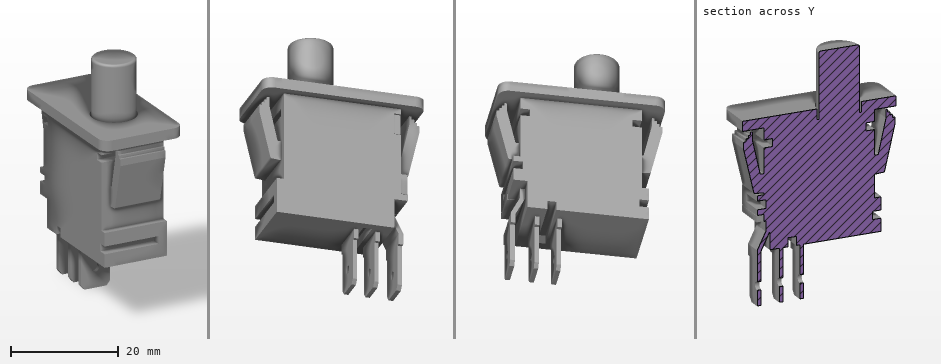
import cadquery as cq


bezel_length = 31.6
bezel_width = 17.0
bezel_thickness = 2.1
bezel_corner_radius = 2.0

button_diameter = 8.5
button_hole_diameter = 9.0
button_x = 4.1
button_height = 11.4
button_edge_radius = 0.5

housing_width = 13.1
upper_half_length = 11.45
ledge_projection = 1.35
ledge_half_length = upper_half_length + ledge_projection
ledge_top_z = -13.2
ledge_bottom_z = -18.6
right_step_z = -17.5
lower_left_x = -10.15
housing_bottom_z = -24.45

groove_depth = 1.8
groove_end_y = 4.75
upper_groove_z = (-3.9, -2.4)
ledge_groove_z = (-16.0, -14.35)
lower_groove_z = (-21.75, -20.2)
bottom_groove_x = (-6.4, -4.7)

joint_gap = 0.15
joint_depth = ledge_projection
tongue_top_z = -1.2
tongue_bottom_z = -5.1
ledge_joint_z = -17.2
ledge_joint_y = 0.1

clip_width = 9.5
clip_tip_z = -0.3
clip_tip_inner_x = -13.7
clip_tip_thickness = 0.45
clip_step_run = 0.5
clip_step_rise = 0.6
clip_step_count = 3
clip_nose_height = 1.35
clip_inner_bend_z = -2.0
clip_root_inner_x = -12.1
clip_root_top_z = -9.0
clip_heel_x = -13.45
clip_heel_z = -12.75
clip_root_bottom_z = -12.9
clip_heel_radius = 0.3
clip_root_radius = 0.2

terminal_thickness = 0.85
terminal_shoulder_width = 7.65
terminal_blade_width = 6.15
terminal_shoulder_z = -26.35
terminal_tip_z = -35.2
terminal_tip_chamfer_width = 0.75
terminal_tip_chamfer_height = 0.9
terminal_hole_diameter = 1.6
terminal_hole_z = -31.2
straight_terminal_x = (-7.8, -3.6)
bent_terminal_thickness = 0.9
bent_terminal_x = -ledge_half_length
bend_top_z = -20.6
bend_bottom_z = -24.1
bend_inner_drop = 0.2
terminal_embed = 1.0


def box(x_range, y_range, z_range):
    """Axis-aligned block between the given limits."""
    size = [high - low for low, high in (x_range, y_range, z_range)]
    corner = (x_range[0], y_range[0], z_range[0])
    return cq.Workplane("XY").box(*size, centered=False).translate(corner)


def extrude_along_y(points, width):
    """Prism of an XZ outline, centred on Y = 0."""
    return cq.Workplane("XZ").polyline(points).close().extrude(width / 2, both=True)


def make_bezel():
    plate = cq.Workplane("XY").rect(bezel_length, bezel_width).extrude(bezel_thickness)
    plate = plate.edges("|Z").fillet(bezel_corner_radius)
    hole = cq.Workplane("XY").center(button_x, 0).circle(button_hole_diameter / 2).extrude(bezel_thickness)
    return plate.cut(hole)


def make_button():
    button = cq.Workplane("XY").center(button_x, 0).circle(button_diameter / 2)
    button = button.extrude(bezel_thickness + button_height)
    return button.faces(">Z").edges().fillet(button_edge_radius)


def make_housing():
    outline = [
        (-upper_half_length, 0),
        (upper_half_length, 0),
        (upper_half_length, right_step_z),
        (ledge_half_length, right_step_z),
        (ledge_half_length, housing_bottom_z),
        (lower_left_x, housing_bottom_z),
        (lower_left_x, ledge_bottom_z),
        (-ledge_half_length, ledge_bottom_z),
        (-ledge_half_length, ledge_top_z),
        (-upper_half_length, ledge_top_z),
    ]
    return extrude_along_y(outline, housing_width)


def cut_grooves(housing):
    groove_y = (-housing_width / 2, groove_end_y)
    upper_left_x = (-upper_half_length, -upper_half_length + groove_depth)
    upper_right_x = (upper_half_length - groove_depth, upper_half_length)
    ledge_x = (-ledge_half_length, -ledge_half_length + groove_depth)
    lower_right_x = (ledge_half_length - groove_depth, ledge_half_length)
    bottom_z = (housing_bottom_z, housing_bottom_z + groove_depth)
    for x_range, z_range in (
        (upper_left_x, upper_groove_z),
        (upper_right_x, upper_groove_z),
        (ledge_x, ledge_groove_z),
        (lower_right_x, lower_groove_z),
        (bottom_groove_x, bottom_z),
    ):
        housing = housing.cut(box(x_range, groove_y, z_range))
    return housing


def cut_joints(housing):
    back_y = housing_width / 2
    side_gap_y = (back_y - joint_gap, back_y)

    tongue_x = (-upper_half_length, -upper_half_length + joint_depth)
    tongue_y = (groove_end_y, back_y)
    housing = housing.cut(box(tongue_x, tongue_y, (tongue_top_z, tongue_top_z + joint_gap)))
    housing = housing.cut(box(tongue_x, tongue_y, (tongue_bottom_z - joint_gap, tongue_bottom_z)))
    housing = housing.cut(box(tongue_x, side_gap_y, (tongue_bottom_z, tongue_top_z)))

    ledge_x = (-ledge_half_length, -ledge_half_length + joint_depth)
    joint_z = (ledge_joint_z - joint_gap, ledge_joint_z)
    joint_y = (ledge_joint_y - joint_gap, ledge_joint_y)
    housing = housing.cut(box(ledge_x, side_gap_y, (ledge_joint_z, ledge_top_z)))
    housing = housing.cut(box(ledge_x, (joint_y[0], back_y), joint_z))
    return housing.cut(box(ledge_x, joint_y, (ledge_bottom_z, ledge_joint_z)))


def make_left_clip():
    outer_x = clip_tip_inner_x - clip_tip_thickness
    outer_z = clip_tip_z
    outline = [(clip_tip_inner_x, clip_tip_z), (outer_x, outer_z)]
    for _ in range(clip_step_count):
        outer_z -= clip_step_rise
        outline.append((outer_x, outer_z))
        outer_x -= clip_step_run
        outline.append((outer_x, outer_z))
    outline += [
        (outer_x, outer_z - clip_nose_height),
        (clip_heel_x, clip_heel_z),
        (-upper_half_length, clip_root_bottom_z),
        (-upper_half_length, clip_root_top_z),
        (clip_root_inner_x, clip_root_top_z),
        (clip_tip_inner_x, clip_inner_bend_z),
    ]
    clip = extrude_along_y(outline, clip_width)
    heel = cq.selectors.NearestToPointSelector((clip_heel_x, 0, clip_heel_z))
    root = cq.selectors.NearestToPointSelector((clip_root_inner_x, 0, clip_root_top_z))
    clip = clip.edges("|Y").edges(heel).fillet(clip_heel_radius)
    return clip.edges("|Y").edges(root).fillet(clip_root_radius)


def make_blade_trimmer(top_z):
    """Prism along X with the face shape of a terminal, used to trim a bar."""
    shoulder_y = terminal_shoulder_width / 2
    blade_y = terminal_blade_width / 2
    tip_y = blade_y - terminal_tip_chamfer_width
    half = [
        (shoulder_y, top_z),
        (shoulder_y, terminal_shoulder_z),
        (blade_y, terminal_shoulder_z),
        (blade_y, terminal_tip_z + terminal_tip_chamfer_height),
        (tip_y, terminal_tip_z),
    ]
    mirrored = [(-y, z) for y, z in reversed(half)]
    face = cq.Workplane("YZ").polyline(half + mirrored).close().extrude(bezel_length / 2, both=True)
    hole = cq.Workplane("YZ").center(0, terminal_hole_z).circle(terminal_hole_diameter / 2)
    return face.cut(hole.extrude(bezel_length / 2, both=True))


def make_straight_terminal(center_x):
    top_z = housing_bottom_z + terminal_embed
    half_thickness = terminal_thickness / 2
    x_range = (center_x - half_thickness, center_x + half_thickness)
    y_range = (-terminal_shoulder_width / 2, terminal_shoulder_width / 2)
    bar = box(x_range, y_range, (terminal_tip_z, top_z))
    return bar.intersect(make_blade_trimmer(top_z))


def make_bent_terminal():
    top_z = ledge_bottom_z + terminal_embed
    upper_x = lower_left_x - bent_terminal_thickness
    outline = [
        (upper_x, top_z),
        (lower_left_x, top_z),
        (lower_left_x, bend_top_z - bend_inner_drop),
        (bent_terminal_x + bent_terminal_thickness, bend_bottom_z - bend_inner_drop),
        (bent_terminal_x + bent_terminal_thickness, terminal_tip_z),
        (bent_terminal_x, terminal_tip_z),
        (bent_terminal_x, bend_bottom_z),
        (upper_x, bend_top_z),
    ]
    bar = extrude_along_y(outline, terminal_shoulder_width)
    return bar.intersect(make_blade_trimmer(top_z))


result = cut_joints(cut_grooves(make_housing()))
result = result.union(make_bezel()).union(make_button())

left_clip = make_left_clip()
result = result.union(left_clip).union(left_clip.mirror("YZ"))

for terminal_x in straight_terminal_x:
    result = result.union(make_straight_terminal(terminal_x))
result = result.union(make_bent_terminal())